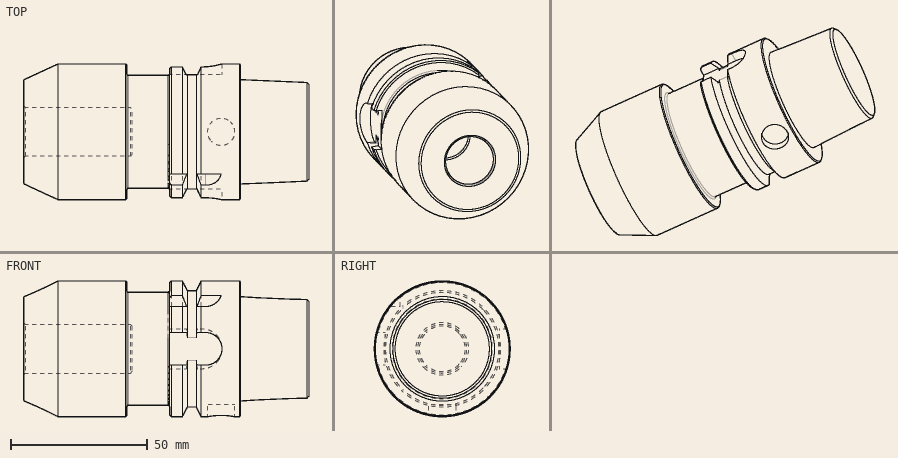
import cadquery as cq

length = 105.0
body_radius = 25.0

face_radius = 18.4
nose_radius = 19.2
nose_edge = 0.3
nose_cone_end = 12.8
body_end = 38.0
body_chamfer = 0.4

neck_radius = 20.8
neck_fillet = 0.6

flange_start = 53.8
flange_chamfer = 0.6
groove_radius = 21.4
groove_start = 58.4
groove_floor_start = 60.3
groove_floor_end = 63.5
groove_end = 65.3
flange_end = 79.8

taper_large_radius = 19.2
taper_small_radius = 18.2
taper_chamfer = 0.8

mouth_radius = 9.7
mouth_chamfer_end = 0.4
relief_radius = 18.5 / 2
relief_end = 0.7
bore_radius = 18.0 / 2
bore_depth = 39.9
bore_floor_radius = 8.4

slot_end = 73.0
slot_floor = 21.0
front_slot_radius = 6.0
rear_slot_radius = 7.4
notch_floor = 15.5

chip_hole_diameter = 10.0
chip_hole_depth = 4.6
chip_hole_x = 72.7


def turned_body():
    profile = (
        cq.Workplane("XY")
        .moveTo(0, 0)
        .lineTo(0, face_radius)
        .lineTo(nose_edge, nose_radius)
        .lineTo(nose_cone_end, body_radius)
        .lineTo(body_end - body_chamfer, body_radius)
        .lineTo(body_end, body_radius - body_chamfer)
        .lineTo(body_end, neck_radius + neck_fillet)
        .radiusArc((body_end + neck_fillet, neck_radius), -neck_fillet)
        .lineTo(flange_start - neck_fillet, neck_radius)
        .radiusArc((flange_start, neck_radius + neck_fillet), -neck_fillet)
        .lineTo(flange_start, body_radius - flange_chamfer)
        .lineTo(flange_start + flange_chamfer, body_radius)
        .lineTo(groove_start, body_radius)
        .lineTo(groove_floor_start, groove_radius)
        .lineTo(groove_floor_end, groove_radius)
        .lineTo(groove_end, body_radius)
        .lineTo(flange_end - body_chamfer, body_radius)
        .lineTo(flange_end, body_radius - body_chamfer)
        .lineTo(flange_end, taper_large_radius)
        .lineTo(length - taper_chamfer, taper_small_radius)
        .lineTo(length, taper_small_radius - taper_chamfer)
        .lineTo(length, 0)
        .close()
    )
    return profile.revolve(360, (0, 0, 0), (1, 0, 0))


def tool_bore():
    bore_bevel = bore_radius - bore_floor_radius
    profile = (
        cq.Workplane("XY")
        .moveTo(0, 0)
        .lineTo(0, mouth_radius)
        .lineTo(mouth_chamfer_end, relief_radius)
        .lineTo(relief_end, bore_radius)
        .lineTo(bore_depth - bore_bevel, bore_radius)
        .lineTo(bore_depth, bore_floor_radius)
        .lineTo(bore_depth, 0)
        .close()
    )
    return profile.revolve(360, (0, 0, 0), (1, 0, 0))


def round_ended_slot(radius, center_z, floor, side):
    """Cutter for a slot open at the flange start; side is -1 for -Y or +1 for +Y."""
    arc_x = slot_end - radius
    profile = (
        cq.Workplane("XZ", origin=(0, side * floor, 0))
        .moveTo(flange_start, center_z - radius)
        .lineTo(arc_x, center_z - radius)
        .threePointArc((slot_end, center_z), (arc_x, center_z + radius))
        .lineTo(flange_start, center_z + radius)
        .close()
    )
    return profile.extrude(-side * body_radius)


def chip_hole():
    return (
        cq.Workplane("XY", origin=(chip_hole_x, 0, -body_radius))
        .circle(chip_hole_diameter / 2)
        .extrude(chip_hole_depth)
    )


front_slot = round_ended_slot(front_slot_radius, 0, slot_floor, -1)
rear_slot = round_ended_slot(rear_slot_radius, 0, slot_floor, 1)
notch = round_ended_slot(front_slot_radius, notch_floor + front_slot_radius, notch_floor, -1)

result = turned_body()
for cutter in (tool_bore(), front_slot, rear_slot, notch, chip_hole()):
    result = result.cut(cutter)